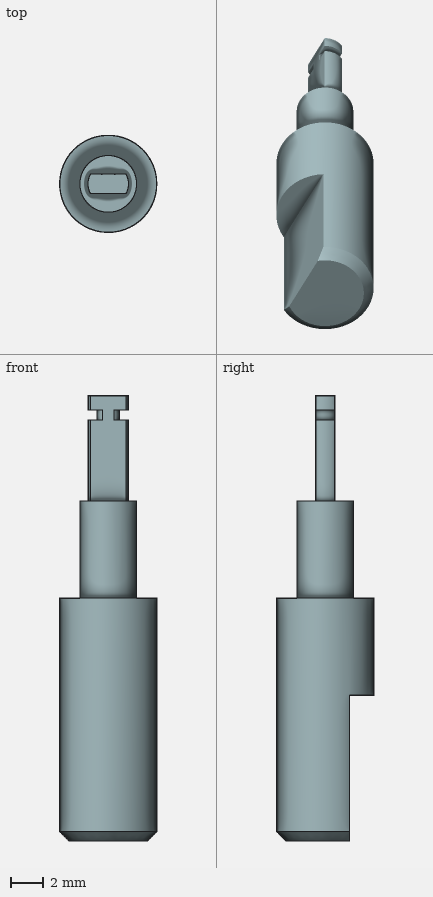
import cadquery as cq

shank_diameter = 6.0
shank_length = 15.0
shank_chamfer = 0.6
flat_offset = 1.5
flat_length = 9.0

collar_diameter = 3.5
collar_length = 6.0

tip_diameter = 2.5
tip_thickness = 1.2
neck_diameter = 1.4
blade_length = 5.0
neck_length = 0.6
head_length = 0.9

collar_base = shank_length
tip_base = collar_base + collar_length
neck_base = tip_base + blade_length
head_base = neck_base + neck_length
tip_length = blade_length + neck_length + head_length


def cylinder(diameter, length, base):
    """Vertical cylinder on the Z axis, starting at height base."""
    return cq.Workplane("XY").workplane(offset=base).circle(diameter / 2).extrude(length)


def make_shank():
    """Shank with its lower edge chamfered, then cut away beyond the flat."""
    shank = cylinder(shank_diameter, shank_length, 0).faces("<Z").chamfer(shank_chamfer)
    flat_cutter = (
        cq.Workplane("XY")
        .box(shank_diameter, shank_diameter, flat_length, centered=(True, False, False))
        .translate((0, flat_offset, 0))
    )
    return shank.cut(flat_cutter)


def make_latch_tip():
    """Stepped round pin trimmed to a slab by the two parallel flats."""
    pin = (
        cylinder(tip_diameter, blade_length, tip_base)
        .union(cylinder(neck_diameter, neck_length, neck_base))
        .union(cylinder(tip_diameter, head_length, head_base))
    )
    slab = (
        cq.Workplane("XY")
        .box(tip_diameter, tip_thickness, tip_length, centered=(True, True, False))
        .translate((0, 0, tip_base))
    )
    return pin.intersect(slab)


collar = cylinder(collar_diameter, collar_length, collar_base)
result = make_shank().union(collar).union(make_latch_tip())